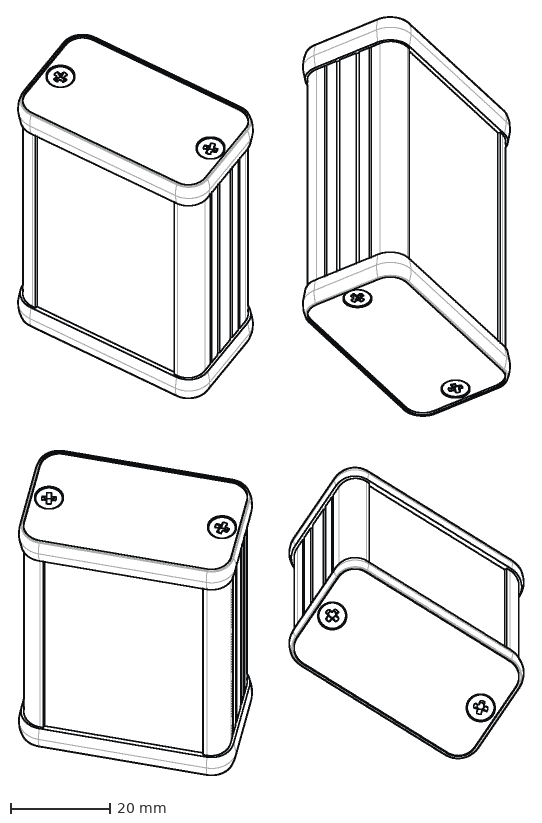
import cadquery as cq
import math

LENGTH = 66.0
CAP_WIDTH = 44.6
CAP_DEPTH = 25.15
CAP_CORNER_RADIUS = 5.0

CAP_HEIGHT = 5.95
CREASE_DROP = 3.05
FULLEST_DROP = 2.7
OUTER_SIDE_RADIUS = 7.25
INNER_SIDE_RADIUS = 24.4
INNER_EDGE_INSET = 0.45
RIM_INSET = 1.0
RIM_ROUND = 0.2
RECESS_DEPTH = 0.5

HOUSING_WIDTH = 42.5
HOUSING_DEPTH = 23.35
HOUSING_CORNER_RADIUS = 4.0
PANEL_WIDTH = 33.0
PANEL_DEPTH = 0.45
PANEL_EDGE_RUN = 0.2
WIDE_GROOVE_Y = 2.4
WIDE_GROOVE_WIDTH = 0.7
WIDE_GROOVE_DEPTH = 0.25
NARROW_GROOVE_Y = 5.35
NARROW_GROOVE_WIDTH = 0.45
NARROW_GROOVE_DEPTH = 0.1

SCREW_X = 17.8
HEAD_DIAMETER = 5.4
HEAD_SINK = 0.2
SHANK_DIAMETER = 3.5
SCREW_LENGTH = 9.25
CROSS_REACH = 1.45
CROSS_ARM_WIDTH = 0.9
CROSS_CORE_RADIUS = 0.7
CROSS_DEPTH = 1.0
LEFT_CROSS_ANGLE = -16.0
RIGHT_CROSS_ANGLE = 10.0

CAP_BASE_Z = LENGTH - CAP_HEIGHT
RECESS_Z = LENGTH - RECESS_DEPTH
HEAD_TOP_Z = RECESS_Z - HEAD_SINK
HOUSING_LENGTH = LENGTH - 2 * CAP_HEIGHT
SCREWS = [(-SCREW_X, LEFT_CROSS_ANGLE), (SCREW_X, RIGHT_CROSS_ANGLE)]


def rounded_block(width, depth, radius, base_z, height):
    block = cq.Workplane("XY").workplane(offset=base_z).rect(width, depth).extrude(height)
    return block.edges("|Z").fillet(radius)


def mirrored_end(body):
    """The same body at the opposite (-Z) end."""
    return body.mirror("XY", (0, 0, LENGTH / 2))


def screw_blank(x, rim_z):
    """Shank and 45 degree conical head whose cone runs up to rim_z."""
    shank_radius = SHANK_DIAMETER / 2
    rim_radius = HEAD_DIAMETER / 2 + rim_z - HEAD_TOP_Z
    neck_z = rim_z - (rim_radius - shank_radius)
    tip_z = HEAD_TOP_Z - SCREW_LENGTH
    outline = [(0, tip_z), (shank_radius, tip_z), (shank_radius, neck_z), (rim_radius, rim_z), (0, rim_z)]
    return cq.Workplane("XZ").polyline(outline).close().revolve(360, (0, 0), (0, 1)).translate((x, 0, 0))


def cross_recess(x, angle):
    """Cross-shaped driver recess: arms with sloping floors around a flat-bottomed core."""
    floor_z = HEAD_TOP_Z - CROSS_DEPTH
    floor_plane = cq.Workplane("XY").workplane(offset=floor_z)
    arm_length = 2 * CROSS_REACH
    arms = floor_plane.rect(arm_length, CROSS_ARM_WIDTH).extrude(CROSS_DEPTH)
    arms = arms.union(floor_plane.rect(CROSS_ARM_WIDTH, arm_length).extrude(CROSS_DEPTH))
    taper = math.degrees(math.atan((CROSS_REACH - CROSS_CORE_RADIUS) / CROSS_DEPTH))
    arms = arms.intersect(floor_plane.circle(CROSS_CORE_RADIUS).extrude(CROSS_DEPTH, taper=-taper))
    core = floor_plane.circle(CROSS_CORE_RADIUS).extrude(CROSS_DEPTH)
    return arms.union(core).rotate((0, 0, 0), (0, 0, 1), angle).translate((x, 0, 0))


def make_screw(x, angle):
    return screw_blank(x, HEAD_TOP_Z).cut(cross_recess(x, angle))


def arc_setback(radius, distance):
    """How far an arc falls back from its crest at the given distance along its tangent."""
    return radius - math.sqrt(radius**2 - distance**2)


def make_cap():
    """Cap with a creased bulging side, a rounded rim around a recessed end face and two countersinks."""
    core_width = CAP_WIDTH - 2 * RIM_INSET
    core_depth = CAP_DEPTH - 2 * RIM_INSET
    core_radius = CAP_CORNER_RADIUS - RIM_INSET
    core = rounded_block(core_width, core_depth, core_radius, CAP_BASE_Z, CAP_HEIGHT - RECESS_DEPTH)

    path = core.faces("<Z").wires()
    inner_y = core_depth / 2
    outer_y = CAP_DEPTH / 2
    crease_y = outer_y - arc_setback(OUTER_SIDE_RADIUS, CREASE_DROP - FULLEST_DROP)
    end_y = outer_y - arc_setback(OUTER_SIDE_RADIUS, FULLEST_DROP)
    rim = (
        cq.Workplane("YZ")
        .moveTo(inner_y, CAP_BASE_Z)
        .lineTo(outer_y - INNER_EDGE_INSET, CAP_BASE_Z)
        .radiusArc((crease_y, LENGTH - CREASE_DROP), -INNER_SIDE_RADIUS)
        .threePointArc((outer_y, LENGTH - FULLEST_DROP), (end_y, LENGTH))
        .lineTo(inner_y, LENGTH)
        .close()
        .sweep(path)
    )
    top_edges = rim.faces(">Z").val().outerWire().Edges()
    rim = rim.newObject(top_edges).fillet(RIM_ROUND)

    cap = core.union(rim)
    for x, _ in SCREWS:
        cap = cap.cut(screw_blank(x, RECESS_Z))
    return cap


def groove(y, width, depth):
    """Round-bottomed groove along the -X face."""
    face_x = -HOUSING_WIDTH / 2
    return (
        cq.Workplane("XY")
        .workplane(offset=CAP_HEIGHT)
        .moveTo(face_x, y - width / 2)
        .threePointArc((face_x + depth, y), (face_x, y + width / 2))
        .close()
        .extrude(HOUSING_LENGTH)
    )


def panel_recess():
    """Shallow recess with sloping edges along the -Y face."""
    face_y = -HOUSING_DEPTH / 2
    floor_y = face_y + PANEL_DEPTH
    half_top = PANEL_WIDTH / 2
    half_floor = half_top - PANEL_EDGE_RUN
    outline = [(-half_top, face_y), (half_top, face_y), (half_floor, floor_y), (-half_floor, floor_y)]
    return cq.Workplane("XY").workplane(offset=CAP_HEIGHT).polyline(outline).close().extrude(HOUSING_LENGTH)


def make_housing():
    housing = rounded_block(HOUSING_WIDTH, HOUSING_DEPTH, HOUSING_CORNER_RADIUS, CAP_HEIGHT, HOUSING_LENGTH)
    cutters = [panel_recess(), panel_recess().mirror("XZ")]
    for side in (-1, 1):
        for channel in (
            groove(side * WIDE_GROOVE_Y, WIDE_GROOVE_WIDTH, WIDE_GROOVE_DEPTH),
            groove(side * NARROW_GROOVE_Y, NARROW_GROOVE_WIDTH, NARROW_GROOVE_DEPTH),
        ):
            cutters += [channel, channel.mirror("YZ")]
    for x, _ in SCREWS:
        cutters += [screw_blank(x, HEAD_TOP_Z), mirrored_end(screw_blank(x, HEAD_TOP_Z))]
    for cutter in cutters:
        housing = housing.cut(cutter)
    return housing


housing = make_housing()
top_cap = make_cap()
caps = [top_cap, mirrored_end(top_cap)]
screws = []
for x, angle in SCREWS:
    screw = make_screw(x, angle)
    screws += [screw, mirrored_end(screw)]

result = cq.Compound.makeCompound([housing.val(), *[body.val() for body in caps + screws]])